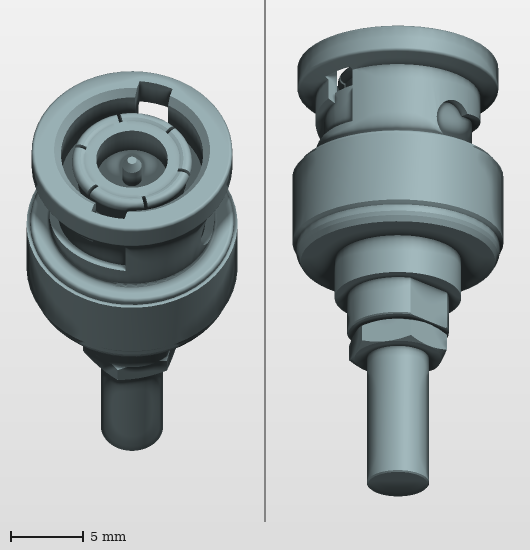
import cadquery as cq
import math

half_height = 15.88
front_z = half_height
rear_z = -half_height
flange_edge_z = front_z - 1.75
cavity_floor_z = front_z - 3.27
collar_top_z = 7.9
collar_step_z = 7.43
grip_bottom_z = 2.45
collar_bottom_z = 1.05
neck_bottom_z = -1.75
flats_bottom_z = -4.48
nut_top_z = -4.67
nut_bottom_z = -6.35

flange_radius = 6.95
flange_round = 0.22
flange_cone_angle = 24.0
barrel_radius = 5.7
barrel_root_fillet = 0.2
bore_radius = 4.92
bore_chamfer = 0.48
grip_radius = 7.3
collar_land_radius = 7.05
collar_top_round = 0.25
grip_chamfer = grip_radius - collar_land_radius
collar_bottom_radius = 6.73
collar_bottom_mid_radius = 6.95
collar_taper_z = 1.7
collar_taper_mid_z = 1.43

slot_width = 2.38
slot_floor_radius = 5.1
notch_radius = 6.0
slot_ramp_angle = 15.0
latch_hole_radius = 1.65
latch_hole_z = 9.75
notch_start_z = 11.1

neck_radius = 4.38
across_flats = 6.05
flats_radius = 3.52
flats_chamfer = 0.1
groove_radius = 1.9
nut_chamfer_radius = 3.02
nut_chamfer_angle = 30.0
nut_sides = 6
sleeve_radius = 2.15
sleeve_chamfer = 0.1

shell_top_z = front_z - 0.95
shell_bead_radius = 4.15
shell_bead_round = 0.45
shell_neck_radius = 3.78
shell_lip_radius = 3.55
insulator_radius = 3.3
insulator_hole_radius = 2.48
insulator_recess = 0.1
insulator_top_z = shell_top_z - insulator_recess
slit_count = 6
slit_width = 0.25
pin_radius = 0.67
pin_tip_radius = 0.32
pin_tip_z = front_z - 1.17
pin_shoulder_z = front_z - 1.75

reach = 9.52


def disc(radius, bottom_z, top_z):
    """Cylinder on the connector axis."""
    return cq.Workplane("XY").workplane(offset=bottom_z).circle(radius).extrude(top_z - bottom_z)


def turned(profile_points):
    """Solid of revolution from (radius, z) points, closed along the axis."""
    return cq.Workplane("XZ").polyline(profile_points).close().revolve(360, (0, 0), (0, 1))


def flanged_barrel():
    cone_slope = math.radians(flange_cone_angle)
    cone_outer_radius = flange_radius - flange_round * (1 - math.sin(cone_slope))
    cone_outer_z = flange_edge_z - flange_round * math.cos(cone_slope)
    cone_inner_z = cone_outer_z - (cone_outer_radius - barrel_radius) * math.tan(cone_slope)
    barrel = (
        cq.Workplane("XZ")
        .moveTo(0, front_z)
        .lineTo(flange_radius - flange_round, front_z)
        .radiusArc((flange_radius, front_z - flange_round), flange_round)
        .lineTo(flange_radius, flange_edge_z)
        .radiusArc((cone_outer_radius, cone_outer_z), flange_round)
        .lineTo(barrel_radius, cone_inner_z)
        .lineTo(barrel_radius, collar_top_z + barrel_root_fillet)
        .radiusArc((barrel_radius + barrel_root_fillet, collar_top_z), -barrel_root_fillet)
        .lineTo(0, collar_top_z)
        .close()
        .revolve(360, (0, 0), (0, 1))
    )
    bore = turned([
        (0, front_z),
        (bore_radius + bore_chamfer, front_z),
        (bore_radius, front_z - bore_chamfer),
        (bore_radius, cavity_floor_z),
        (0, cavity_floor_z),
    ])
    return barrel.cut(bore)


def bayonet_slot():
    """Entry notch at -Y, ramping down to a round latch hole at -X."""
    half_width = slot_width / 2
    notch = (
        cq.Workplane("XY")
        .box(slot_width, reach, front_z - notch_start_z, centered=(True, False, False))
        .translate((0, -reach, notch_start_z))
        .intersect(disc(notch_radius, notch_start_z, front_z))
    )
    ramp = (
        cq.Workplane("XY")
        .box(reach + half_width, reach, slot_width, centered=False)
        .translate((-reach, -reach, -latch_hole_radius))
        .rotate((0, 0, 0), (1, 0, 0), -slot_ramp_angle)
        .translate((0, 0, latch_hole_z))
    )
    latch_hole = (
        cq.Workplane("YZ").center(0, latch_hole_z).circle(latch_hole_radius).extrude(-reach)
    )
    slot_floor = disc(slot_floor_radius, collar_top_z, cavity_floor_z)
    return notch.union(ramp).union(latch_hole).cut(slot_floor)


def collar():
    return (
        cq.Workplane("XZ")
        .moveTo(0, collar_top_z)
        .lineTo(collar_land_radius - collar_top_round, collar_top_z)
        .radiusArc((collar_land_radius, collar_top_z - collar_top_round), collar_top_round)
        .lineTo(collar_land_radius, collar_step_z)
        .lineTo(grip_radius, collar_step_z)
        .lineTo(grip_radius, grip_bottom_z)
        .lineTo(collar_land_radius, grip_bottom_z - grip_chamfer)
        .lineTo(collar_land_radius, collar_taper_z)
        .lineTo(collar_bottom_mid_radius, collar_taper_mid_z)
        .lineTo(collar_bottom_radius, collar_bottom_z)
        .lineTo(0, collar_bottom_z)
        .close()
        .revolve(360, (0, 0), (0, 1))
    )


def flatted_body():
    body = disc(flats_radius, flats_bottom_z, neck_bottom_z).faces("<Z").chamfer(flats_chamfer)
    flats = cq.Workplane("XY").box(across_flats, 2 * reach, 2 * reach)
    return body.intersect(flats)


def hex_nut():
    corner_radius = across_flats / 2 / math.cos(math.pi / nut_sides)
    chamfer_height = (corner_radius - nut_chamfer_radius) * math.tan(math.radians(nut_chamfer_angle))
    hexagon = (
        cq.Workplane("XY")
        .workplane(offset=nut_bottom_z)
        .polygon(nut_sides, 2 * corner_radius)
        .extrude(nut_top_z - nut_bottom_z)
        .rotate((0, 0, 0), (0, 0, 1), 180 / nut_sides)
    )
    envelope = turned([
        (0, nut_bottom_z),
        (nut_chamfer_radius, nut_bottom_z),
        (corner_radius, nut_bottom_z + chamfer_height),
        (corner_radius, nut_top_z - chamfer_height),
        (nut_chamfer_radius, nut_top_z),
        (0, nut_top_z),
    ])
    return hexagon.intersect(envelope)


def cable_sleeve():
    return disc(sleeve_radius, rear_z, nut_bottom_z).faces("<Z").chamfer(sleeve_chamfer)


def contact_shell():
    """Slotted spring ring around the insulator."""
    bead_center_radius = shell_bead_radius - shell_bead_round
    bead_center_z = shell_top_z - shell_bead_round
    bead_drop = math.sqrt(shell_bead_round**2 - (shell_neck_radius - bead_center_radius) ** 2)
    shell = (
        cq.Workplane("XZ")
        .moveTo(insulator_radius, cavity_floor_z)
        .lineTo(shell_neck_radius, cavity_floor_z)
        .lineTo(shell_neck_radius, bead_center_z - bead_drop)
        .threePointArc((shell_bead_radius, bead_center_z), (bead_center_radius, shell_top_z))
        .lineTo(shell_lip_radius, shell_top_z)
        .lineTo(insulator_radius, insulator_top_z)
        .close()
        .revolve(360, (0, 0), (0, 1))
    )
    slit = (
        cq.Workplane("XY")
        .box(reach, slit_width, front_z - cavity_floor_z, centered=(False, True, False))
        .translate((0, 0, cavity_floor_z))
    )
    for index in range(slit_count):
        shell = shell.cut(slit.rotate((0, 0, 0), (0, 0, 1), index * 360 / slit_count))
    return shell


def insulator():
    ring = disc(insulator_radius, cavity_floor_z, insulator_top_z)
    return ring.cut(disc(insulator_hole_radius, cavity_floor_z, insulator_top_z))


def centre_pin():
    return turned([
        (0, cavity_floor_z),
        (pin_radius, cavity_floor_z),
        (pin_radius, pin_shoulder_z),
        (pin_tip_radius, pin_tip_z),
        (0, pin_tip_z),
    ])


barrel = flanged_barrel()
slot = bayonet_slot()
for turn in (0, 180):
    barrel = barrel.cut(slot.rotate((0, 0, 0), (0, 0, 1), turn))

result = (
    barrel
    .union(collar())
    .union(disc(neck_radius, neck_bottom_z, collar_bottom_z))
    .union(flatted_body())
    .union(disc(groove_radius, nut_top_z, flats_bottom_z))
    .union(hex_nut())
    .union(cable_sleeve())
    .union(contact_shell())
    .union(insulator())
    .union(centre_pin())
)